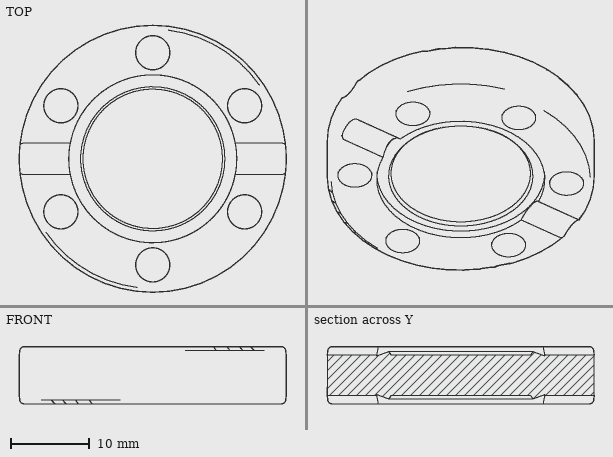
import cadquery as cq
import math

flange_diameter = 34.0
thickness = 7.3
rim_fillet = 0.5

bolt_count = 6
bolt_circle_diameter = 27.0
bolt_hole_diameter = 4.32
first_bolt_angle = 90

recess_diameter = 21.4
knife_diameter = 18.35
knife_depth = 0.6
knife_slope_angle = 20
floor_diameter = 17.75
floor_depth = 1.05

groove_width = 4.0
groove_depth = 1.05

recess_radius = recess_diameter / 2
knife_radius = knife_diameter / 2
slope_rise = (recess_radius - knife_radius) * math.tan(math.radians(knife_slope_angle))
recess_depth = knife_depth + slope_rise
top = thickness / 2


def make_body():
    disc = cq.Workplane("XY").circle(flange_diameter / 2).extrude(top, both=True)
    disc = disc.faces("<Z or >Z").fillet(rim_fillet)
    holes = (
        cq.Workplane("XY")
        .polarArray(bolt_circle_diameter / 2, first_bolt_angle, 360, bolt_count)
        .circle(bolt_hole_diameter / 2)
        .extrude(top, both=True)
    )
    return disc.cut(holes)


def make_recess():
    """Revolved void of the upper gasket recess and the shallow central well."""
    return (
        cq.Workplane("XZ")
        .moveTo(0, top)
        .lineTo(recess_radius, top)
        .lineTo(recess_radius, top - recess_depth)
        .lineTo(knife_radius, top - knife_depth)
        .lineTo(floor_diameter / 2, top - floor_depth)
        .lineTo(0, top - floor_depth)
        .close()
        .revolve(360, (0, 0, 0), (0, 1, 0))
    )


def make_grooves():
    """Upper leak-check grooves, from the recess wall out through the rim."""
    bar = (
        cq.Workplane("YZ")
        .moveTo(-groove_width / 2, top)
        .threePointArc((0, top - groove_depth), (groove_width / 2, top))
        .close()
        .extrude(flange_diameter / 2, both=True)
    )
    recess_core = cq.Workplane("XY").circle(recess_radius).extrude(top)
    return bar.cut(recess_core)


face_void = make_recess().union(make_grooves())
result = make_body().cut(face_void).cut(face_void.mirror("XY"))